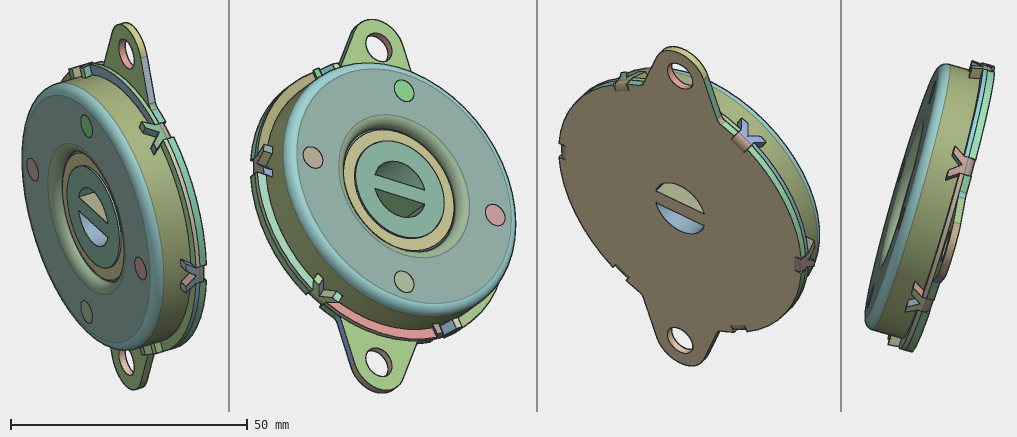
import cadquery as cq
import math

TOTAL_DEPTH = 11.3
PLATE_THICKNESS = 1.6
FLANGE_THICKNESS = 1.0
FLANGE_FRONT = PLATE_THICKNESS + FLANGE_THICKNESS
TAB_TIP = 5.0

RIM_RADIUS = 31.5
CUP_RADIUS = 29.3
CUP_ROUND = 2.1
BORE_RADIUS = 14.4
MOUTH_ROUND = 2.1

TOTAL_HEIGHT = 89.0
LUG_TIP_RADIUS = 6.5
LUG_CENTRE = TOTAL_HEIGHT / 2 - LUG_TIP_RADIUS
LUG_HOLE_RADIUS = 3.3
LUG_TAPER = math.radians(20)
LUG_ROOT_ROUND = 1.8

TAB_COUNT = 6
TAB_HALF_WIDTH = 2.0
TAB_TIP_HALF_WIDTH = 3.65
TAB_BEND_RADIUS = PLATE_THICKNESS

POST_COUNT = 4
POST_RADIUS = 2.5
POST_CIRCLE_RADIUS = 23.05

HUB_EDGE_CHAMFER = 0.45
HUB_SHOULDER = 9.25
BOSS_RADIUS = 11.2
BOSS_HEIGHT = 0.45
HUB_FRONT = HUB_SHOULDER + BOSS_HEIGHT
SOCKET_RADIUS = 6.5
SOCKET_BAR_WIDTH = 3.4


def level(depth):
    """Workplane parallel to XZ, facing -Y, at a depth in front of the back face."""
    return cq.Workplane("XZ", origin=(0, -depth, 0))


def disc(radius, start, end):
    """Cylinder on the main axis between two levels."""
    return level(start).circle(radius).extrude(end - start)


def make_lug():
    """Upper tapered lug, whose wide end reaches well inside the round plate."""
    tangent_x = LUG_TIP_RADIUS * math.cos(LUG_TAPER)
    tangent_z = LUG_CENTRE + LUG_TIP_RADIUS * math.sin(LUG_TAPER)
    root_z = RIM_RADIUS / 2
    root_x = tangent_x + (tangent_z - root_z) * math.tan(LUG_TAPER)
    return (
        level(0)
        .moveTo(-root_x, root_z)
        .lineTo(-tangent_x, tangent_z)
        .threePointArc((0, TOTAL_HEIGHT / 2), (tangent_x, tangent_z))
        .lineTo(root_x, root_z)
        .close()
        .extrude(PLATE_THICKNESS)
    )


def make_plate():
    """Round plate with two opposite drilled lugs, blended at their roots."""
    lug = make_lug()
    plate = disc(RIM_RADIUS, 0, PLATE_THICKNESS)
    plate = plate.union(lug).union(lug.mirror("XY"))
    root_zone = cq.selectors.BoxSelector(
        (-RIM_RADIUS / 2, -PLATE_THICKNESS, -RIM_RADIUS),
        (RIM_RADIUS / 2, PLATE_THICKNESS, RIM_RADIUS),
    )
    plate = plate.edges("|Y").edges(root_zone).fillet(LUG_ROOT_ROUND)
    holes = (
        level(0)
        .pushPoints([(0, LUG_CENTRE), (0, -LUG_CENTRE)])
        .circle(LUG_HOLE_RADIUS)
        .extrude(PLATE_THICKNESS)
    )
    return plate.cut(holes)


def make_tab():
    """Tab on the +X side, bent forward from the plate and split into a Y."""
    ring = disc(RIM_RADIUS, 0, TAB_TIP).faces(">Y").edges().fillet(TAB_BEND_RADIUS)
    fork = (
        cq.Workplane("YZ")
        .moveTo(0, -TAB_HALF_WIDTH)
        .lineTo(-FLANGE_FRONT, -TAB_HALF_WIDTH)
        .lineTo(-TAB_TIP, -TAB_TIP_HALF_WIDTH)
        .lineTo(-TAB_TIP, -TAB_HALF_WIDTH)
        .lineTo(-FLANGE_FRONT, 0)
        .lineTo(-TAB_TIP, TAB_HALF_WIDTH)
        .lineTo(-TAB_TIP, TAB_TIP_HALF_WIDTH)
        .lineTo(-FLANGE_FRONT, TAB_HALF_WIDTH)
        .lineTo(0, TAB_HALF_WIDTH)
        .close()
        .extrude(RIM_RADIUS)
    )
    return fork.intersect(ring).cut(disc(CUP_RADIUS, 0, TAB_TIP))


def make_rim_notch():
    """Space on the +X side of the rim, through plate and flange, that a tab fills."""
    block = (
        level(0)
        .center(RIM_RADIUS / 2, 0)
        .rect(RIM_RADIUS, 2 * TAB_HALF_WIDTH)
        .extrude(FLANGE_FRONT)
    )
    return block.cut(disc(CUP_RADIUS, 0, FLANGE_FRONT))


def around_rim(shape):
    """Copies of a +X shape at every tab position."""
    step = 360 / TAB_COUNT
    return [shape.rotate((0, 0, 0), (0, 1, 0), index * step) for index in range(TAB_COUNT)]


def make_posts():
    """Round posts, reaching from the back face to the front of the cup."""
    return (
        level(0)
        .polarArray(POST_CIRCLE_RADIUS, 0, 360, POST_COUNT)
        .circle(POST_RADIUS)
        .extrude(TOTAL_DEPTH)
    )


def make_hub():
    """Chamfered hub with a low boss on its front."""
    hub = disc(BORE_RADIUS, 0, HUB_SHOULDER).faces("<Y").edges().chamfer(HUB_EDGE_CHAMFER)
    return hub.union(disc(BOSS_RADIUS, HUB_SHOULDER, HUB_FRONT))


def make_socket():
    """Two half-moon through openings, one on each side of a bar."""
    bar = level(0).rect(2 * SOCKET_RADIUS, SOCKET_BAR_WIDTH).extrude(HUB_FRONT)
    return disc(SOCKET_RADIUS, 0, HUB_FRONT).cut(bar)


def make_base():
    """Lugged plate with its tabs, posts and socketed hub."""
    base = make_plate()
    for notch in around_rim(make_rim_notch()):
        base = base.cut(notch)
    for tab in around_rim(make_tab()):
        base = base.union(tab)
    return base.union(make_hub()).union(make_posts()).cut(make_socket())


def make_cup():
    """Flanged cup with a round-mouthed bore, post holes and a notch for each tab."""
    wall = disc(CUP_RADIUS, PLATE_THICKNESS, TOTAL_DEPTH).faces("<Y").edges().fillet(CUP_ROUND)
    cup = disc(RIM_RADIUS, PLATE_THICKNESS, FLANGE_FRONT).union(wall)
    cup = cup.cut(disc(BORE_RADIUS, 0, TOTAL_DEPTH))
    bore_edge = cq.selectors.RadiusNthSelector(0)
    cup = cup.faces("<Y").edges(bore_edge).fillet(MOUTH_ROUND)
    for notch in around_rim(make_rim_notch()):
        cup = cup.cut(notch)
    return cup.cut(make_posts())


base = make_base()
cup = make_cup()

result = cq.Compound.makeCompound([base.solids().val(), cup.solids().val()])